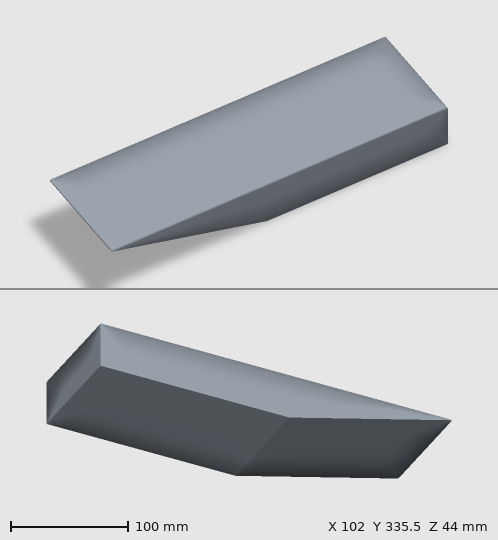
import cadquery as cq

width = 102.0
length = 335.5
height = 44.0

base_length = 180.0
tip_thickness = 1.5

edge_radius = 2.0
tip_radius = 0.7

front = -length / 2
back = length / 2
ramp_start = back - base_length


def wedge_body():
    """Side profile with a ramp under the front, extruded across the width."""
    profile = [
        (back, 0),
        (back, height),
        (front, height),
        (front, height - tip_thickness),
        (ramp_start, 0),
    ]
    return cq.Workplane("YZ").polyline(profile).close().extrude(width / 2, both=True)


def rounded_envelope():
    """Full-size block with every top edge rounded.

    The side radius is larger than the tip thickness, so the rounding is made
    on this block and runs out through the ramp where the two solids intersect.
    """
    block = cq.Workplane("XY").box(width, length, height, centered=(True, True, False))
    block = block.faces(">Z").edges("<Y").fillet(tip_radius)
    return block.faces(">Z").edges("|Y or >Y").fillet(edge_radius)


result = wedge_body().intersect(rounded_envelope())